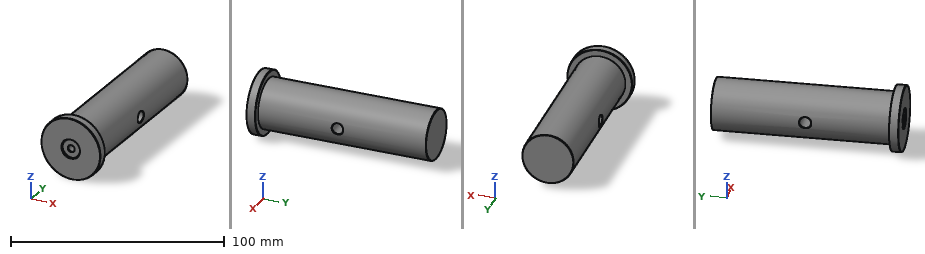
import cadquery as cq
import math

total_length = 90.0
head_diameter = 31.8
head_thickness = 4.7
head_chamfer = 0.3
shank_diameter = 25.2
shank_end_chamfer = 0.3
cross_hole_diameter = 5.5
cross_hole_chamfer = 0.3

recess_mouth_diameter = 10.1
recess_floor_diameter = 9.2
recess_depth = 0.5
drill_diameter = 3.2
drill_chamfer = 0.3
drill_depth = 18.0
drill_point_angle = 118.0

head_face_y = -total_length / 2
head_back_y = head_face_y + head_thickness
shank_end_y = total_length / 2


def revolve_about_pin_axis(outline):
    """Turn an outline of (radius, y) points about the Y axis."""
    return cq.Workplane("XY").polyline(outline).close().revolve(360, (0, 0), (0, 1))


def make_pin_body():
    head_radius = head_diameter / 2
    shank_radius = shank_diameter / 2
    return revolve_about_pin_axis([
        (0, head_face_y),
        (head_radius - head_chamfer, head_face_y),
        (head_radius, head_face_y + head_chamfer),
        (head_radius, head_back_y - head_chamfer),
        (head_radius - head_chamfer, head_back_y),
        (shank_radius, head_back_y),
        (shank_radius, shank_end_y - shank_end_chamfer),
        (shank_radius - shank_end_chamfer, shank_end_y),
        (0, shank_end_y),
    ])


def make_head_bore():
    """Tapered recess with a blind drilled hole, chamfered at its mouth, in the floor."""
    recess_floor_y = head_face_y + recess_depth
    drill_radius = drill_diameter / 2
    drill_shoulder_y = recess_floor_y + drill_depth
    drill_point_length = drill_radius / math.tan(math.radians(drill_point_angle / 2))
    return revolve_about_pin_axis([
        (0, head_face_y),
        (recess_mouth_diameter / 2, head_face_y),
        (recess_floor_diameter / 2, recess_floor_y),
        (drill_radius + drill_chamfer, recess_floor_y),
        (drill_radius, recess_floor_y + drill_chamfer),
        (drill_radius, drill_shoulder_y),
        (0, drill_shoulder_y + drill_point_length),
    ])


def cut_cross_hole(body):
    """Cut a hole through the shank along X, midway along the pin, and chamfer both mouths."""
    hole = cq.Workplane("YZ").circle(cross_hole_diameter / 2).extrude(head_diameter / 2, both=True)
    mouth_zone = cq.selectors.BoxSelector(
        (-head_diameter, -cross_hole_diameter, -cross_hole_diameter),
        (head_diameter, cross_hole_diameter, cross_hole_diameter),
        boundingbox=True,
    )
    return body.cut(hole).edges(mouth_zone).edges("not %LINE").chamfer(cross_hole_chamfer)


pin_with_cross_hole = cut_cross_hole(make_pin_body())
result = pin_with_cross_hole.cut(make_head_bore())